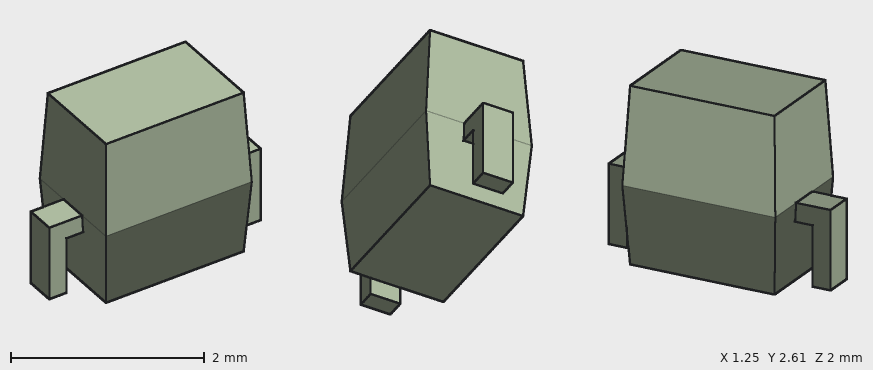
import cadquery as cq

parting_width = 1.25
parting_length = 1.8
end_width = 1.1
end_length = 1.7
height = 2.0
parting_height = 0.901

lead_span = 2.61
lead_width = 0.35
lead_thickness = 0.214


def tapered_half(end_height):
    """Loft from the parting plane to the smaller flat face at end_height."""
    return (
        cq.Workplane("XY", origin=(0, 0, parting_height))
        .rect(parting_width, parting_length)
        .workplane(offset=end_height - parting_height)
        .rect(end_width, end_length)
        .loft(ruled=True)
    )


def make_lead_strip():
    """One bent strip that runs through the housing along Y and stands on Z = 0."""
    outer_y = lead_span / 2
    inner_y = outer_y - lead_thickness
    bar_bottom = parting_height - lead_thickness
    profile = [
        (-outer_y, 0),
        (-outer_y, parting_height),
        (outer_y, parting_height),
        (outer_y, 0),
        (inner_y, 0),
        (inner_y, bar_bottom),
        (-inner_y, bar_bottom),
        (-inner_y, 0),
    ]
    return cq.Workplane("YZ").polyline(profile).close().extrude(lead_width / 2, both=True)


def make_housing(lead_strip):
    """Both tapered halves as one solid, with a passage that fits the lead strip."""
    upper_half = tapered_half(height)
    lower_half = tapered_half(0)
    return upper_half.union(lower_half).cut(lead_strip)


lead_strip = make_lead_strip()
housing = make_housing(lead_strip)

result = cq.Compound.makeCompound([housing.solids().val(), lead_strip.val()])